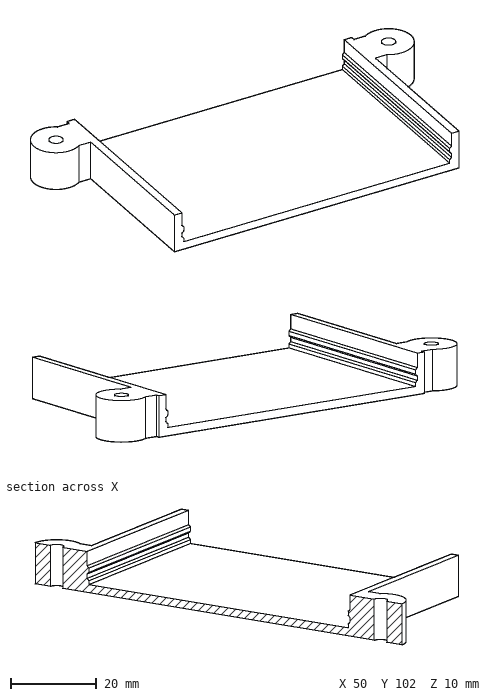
import cadquery as cq

length_x = 50.0
overall_y = 102.0
height = 10.0

tray_width = 77.0
floor_thickness = 2.0
wall_thickness = 2.0

ridge_depth = 0.5
lower_ridge_top = 3.0
upper_ridge_bottom = 5.0
upper_ridge_top = 6.0

ear_diameter = 12.0
hole_diameter = 3.4
neck_width = 10.0
ear_radius = ear_diameter / 2
ear_x = ear_radius
ear_y = overall_y / 2 - ear_radius

outer_y = tray_width / 2
wall_face_y = outer_y - wall_thickness
ridge_y = wall_face_y - ridge_depth


def make_tray():
    """Extrude the symmetrical tray section along X."""
    inner_profile = [
        (wall_face_y, height),
        (wall_face_y, upper_ridge_top + ridge_depth),
        (ridge_y, upper_ridge_top),
        (ridge_y, upper_ridge_bottom),
        (wall_face_y, upper_ridge_bottom - ridge_depth),
        (wall_face_y, lower_ridge_top + ridge_depth),
        (ridge_y, lower_ridge_top),
        (ridge_y, floor_thickness),
    ]
    half_section = [(0, 0), (outer_y, 0), (outer_y, height)] + inner_profile + [(0, floor_thickness)]
    half_tray = cq.Workplane("YZ").polyline(half_section).close().extrude(length_x)
    return half_tray.union(half_tray.mirror("XZ"))


def make_ear(side):
    """Make a drilled round ear and its neck; side is +1 or -1 along Y."""
    neck_start = outer_y - wall_thickness / 2
    neck_length = ear_y - neck_start
    neck_y = side * (neck_start + ear_y) / 2
    boss = cq.Workplane("XY").center(ear_x, side * ear_y).circle(ear_radius).extrude(height)
    neck = cq.Workplane("XY").center(ear_x, neck_y).rect(neck_width, neck_length).extrude(height)
    hole = cq.Workplane("XY").center(ear_x, side * ear_y).circle(hole_diameter / 2).extrude(height)
    return boss.union(neck).cut(hole)


result = make_tray()
for side in (1, -1):
    result = result.union(make_ear(side))
result = result.clean()